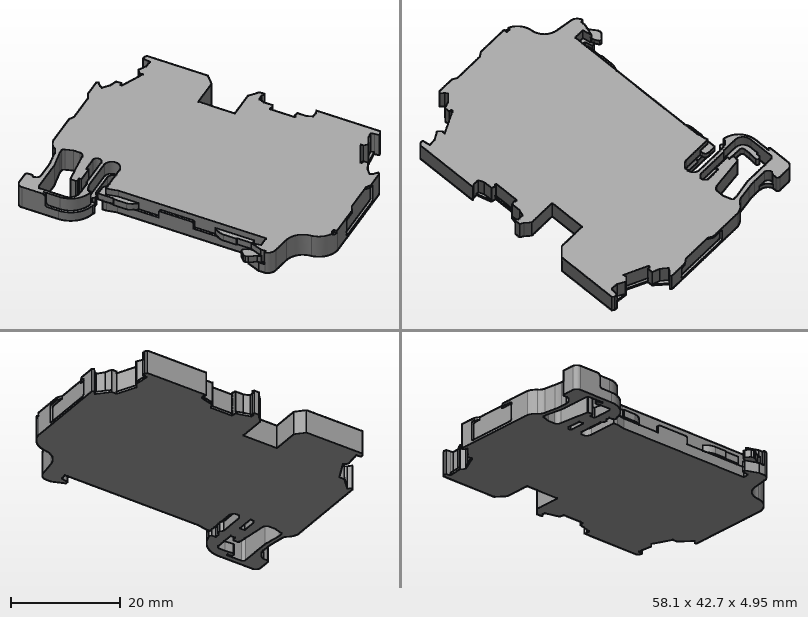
import cadquery as cq

HEIGHT = 4.95
TOP = 42.65
STEP_Z = 2.05
LUG_TOP_Z = 3.5
BLOCK_TOP_Z = 3.62
PLATE_Z = 0.5
LEFT = 0.53
RIGHT = 58.05
RAIL_Y = 6.35
RAIL_STEP_Y = 6.84
CLEAR = 1.0

BODY_AXIS_X = (LEFT + RIGHT) / 2
NOTCH_AXIS_X = 34.73

SHOULDER = [
    (LEFT, 31.96), (0.88, 32.2), (1.5, 31.5), (3.7, 33.82), (4.76, 33.82), (6.6, 37.7),
    (5.9, 38.4), (6.26, 41.5), (5.3, 41.6), (5.3, 42.2), (5.6, TOP),
]

SHOULDER_RECESSES = [
    [(6.26, 41.5), (6.85, 41.4), (6.75, 40.0), (5.95, 38.6), (5.4, 38.6), (5.4, 41.5)],
    [(6.6, 37.7), (7.2, 37.8), (5.1, 33.3), (4.76, 33.3), (4.76, 33.82), (5.2, 36.0)],
    [(3.7, 33.82), (3.17, 32.4), (2.1, 31.15), (1.5, 31.5), (2.0, 33.0)],
]

NOTCH_HALF = [(29.25, 42.1), (29.25, 41.4), (32.2, 40.6), (32.4, 39.65)]
NOTCH_RECESS = [(29.25, 41.4), (29.25, 40.95), (30.4, 40.5), (32.2, 40.5), (32.2, 40.9), (30.0, 42.0)]
NOTCH_FLOOR_Y = 39.65
NOTCH_FLOOR_RECESS = 0.35
NOTCH_FLOOR_LENGTH = 5.1

POCKET_DEPTH = 0.55
POCKET_Y = (18.4, 29.3)
POCKET_Z = (0.53, 4.4)
POCKET_CORNER = 0.4
OPENING_Y = (20.7, 28.5)
OPENING_RUN = 0.9

CORNER_NOTCH_X = 57.35
CORNER_NOTCH_Y = (13.6, 14.4)
CORNER_NOTCH_DEPTH = 0.5

STEP_EDGE_Y = 0.53
RAMP_X = 5.8
RAMP_RADIUS = 0.55
RAMP_END_X = 7.0
GUSSET_Z = 1.4

BLOCK_X = (25.76, 32.8)
BLOCK_CORNER = 0.35

LUG_TIP_Y = 5.82
LUG_SHOULDER_Y = 6.0

LEDGE_X = (14.5, 15.0)
LEDGE_Y = (9.6, 12.8)
LEDGE_DROP = 0.6


def mirrored(points, axis_x):
    """Points mirrored about a line x = axis_x, in reverse order."""
    return [(2 * axis_x - x, y) for x, y in reversed(points)]


def prism(points, z_low, z_high):
    """Straight-sided prism over a polygon."""
    return cq.Workplane("XY").workplane(offset=z_low).polyline(points).close().extrude(z_high - z_low)


def box(x_range, y_range, z_range):
    """Box spanning three coordinate ranges."""
    spans = [high - low for low, high in (x_range, y_range, z_range)]
    return cq.Workplane("XY").box(*spans, centered=False).translate((x_range[0], y_range[0], z_range[0]))


def make_envelope():
    """Housing outline of the lower layer, carried through the full height."""
    outline = (
        cq.Workplane("XY")
        .moveTo(LEFT, 14.1)
        .threePointArc((0.85, 13.2), (1.5, 12.4))
        .threePointArc((2.05, 11.9), (2.3, 11.2))
        .lineTo(2.65, 8.83)
        .threePointArc((2.77, 8.0), (2.8, 7.24))
        .lineTo(2.8, 4.45)
        .threePointArc((2.45, 3.75), (1.7, 3.52))
        .lineTo(1.3, 3.85)
        .lineTo(0.5, 3.85)
        .threePointArc((0.15, 3.7), (0, 3.35))
        .lineTo(0, 1.0)
        .threePointArc((0.3, 0.3), (1.0, 0))
        .lineTo(8.5, 0)
        .threePointArc((11.74, 1.16), (13.5, 4.1))
        .threePointArc((13.65, 4.55), (13.4, 4.92))
        .lineTo(12.5, 4.92)
        .lineTo(12.5, 5.85)
        .lineTo(12.93, 6.2)
        .lineTo(12.93, 6.9)
        .lineTo(12.45, 7.4)
        .lineTo(12.45, 12.2)
        .threePointArc((13.5, 13.25), (14.5, 12.2))
        .lineTo(14.5, 5.95)
        .lineTo(15.3, 5.95)
        .lineTo(17.3, RAIL_Y)
        .lineTo(46.7, RAIL_Y)
        .lineTo(46.5, 5.1)
        .lineTo(45.0, 4.77)
        .lineTo(45.0, 4.2)
        .lineTo(47.6, 3.2)
        .lineTo(48.9, 3.2)
        .threePointArc((49.85, 3.7), (50.35, 4.7))
        .lineTo(50.85, 8.0)
        .threePointArc((52.0, 10.1), (54.4, 11.1))
        .threePointArc((56.9, 12.3), (RIGHT, 14.6))
        .polyline(mirrored(SHOULDER, BODY_AXIS_X)[::-1], includeCurrent=True)
        .lineTo(40.0, TOP)
        .polyline(mirrored(NOTCH_HALF, NOTCH_AXIS_X)[::-1], includeCurrent=True)
        .polyline(NOTCH_HALF[::-1], includeCurrent=True)
        .lineTo(29.7, 42.4)
        .lineTo(29.5, TOP)
        .lineTo(28.4, TOP)
        .lineTo(28.0, 42.0)
        .lineTo(27.0, 40.9)
        .lineTo(27.0, 35.4)
        .lineTo(19.6, 35.4)
        .lineTo(19.6, 40.9)
        .lineTo(18.0, TOP)
        .polyline(SHOULDER[::-1], includeCurrent=True)
        .close()
    )
    return outline.extrude(HEIGHT)


def make_clip_window():
    """Through window inside the clip, wrapped around the hanging finger."""
    outline = (
        cq.Workplane("XY")
        .moveTo(3.1, 12.3)
        .threePointArc((3.2, 12.6), (3.5, 12.75))
        .lineTo(5.0, 13.22)
        .lineTo(6.4, 13.22)
        .threePointArc((6.95, 13.0), (7.25, 12.4))
        .lineTo(8.0, 6.0)
        .lineTo(8.15, 5.82)
        .lineTo(9.2, 5.82)
        .lineTo(9.4, 6.1)
        .lineTo(9.4, 6.71)
        .lineTo(9.88, 6.71)
        .lineTo(9.88, 9.75)
        .lineTo(9.4, 9.75)
        .lineTo(9.4, 12.4)
        .threePointArc((10.25, 13.25), (11.1, 12.4))
        .lineTo(11.1, 6.3)
        .lineTo(11.3, 6.2)
        .lineTo(11.3, 3.2)
        .threePointArc((10.7, 1.7), (9.2, 1.1))
        .lineTo(4.3, 1.1)
        .threePointArc((3.9, 1.25), (3.75, 1.65))
        .lineTo(3.75, 8.0)
        .lineTo(3.1, 11.6)
        .close()
    )
    return outline.extrude(HEIGHT)


def make_leg_thickening():
    """Lower layer of the clip leg: thicker leg, bridge to the finger and curled tongue."""
    outline = (
        cq.Workplane("XY")
        .moveTo(10.45, 13.5)
        .lineTo(10.45, 9.75)
        .lineTo(9.6, 9.75)
        .lineTo(9.6, 6.71)
        .lineTo(10.45, 6.71)
        .lineTo(10.45, 2.8)
        .threePointArc((10.27, 2.35), (9.85, 2.15))
        .lineTo(8.6, 2.15)
        .lineTo(6.85, 2.3)
        .threePointArc((6.5, 1.9), (6.8, 1.4))
        .lineTo(7.5, 1.35)
        .lineTo(7.5, 1.0)
        .lineTo(9.3, 1.0)
        .threePointArc((10.8, 1.65), (11.4, 3.2))
        .lineTo(11.4, 13.5)
        .close()
    )
    return outline.extrude(STEP_Z)


def make_upper_trim():
    """Material removed above the lower layer along the foot, the clip slot and the rail edge."""
    outline = (
        cq.Workplane("XY")
        .workplane(offset=STEP_Z)
        .moveTo(RAMP_END_X, STEP_EDGE_Y)
        .lineTo(8.5, STEP_EDGE_Y)
        .threePointArc((11.6, 1.75), (13.0, 4.2))
        .lineTo(12.95, 4.42)
        .lineTo(12.45, 4.42)
        .lineTo(12.1, 4.8)
        .lineTo(11.83, 5.9)
        .lineTo(11.83, 12.2)
        .threePointArc((13.45, 13.65), (15.0, 12.2))
        .lineTo(15.0, 6.36)
        .lineTo(17.3, RAIL_STEP_Y)
        .lineTo(47.35, RAIL_STEP_Y)
        .lineTo(47.35, 4.77)
        .lineTo(45.5, 4.45)
        .lineTo(47.85, 3.65)
        .lineTo(48.8, 3.65)
        .lineTo(48.8, -CLEAR)
        .lineTo(RAMP_END_X, -CLEAR)
        .close()
    )
    return outline.extrude(HEIGHT)


def make_foot_ramp():
    """Rounded start of the step along the underside of the foot."""
    profile = (
        cq.Workplane("XZ")
        .moveTo(RAMP_END_X, STEP_Z)
        .lineTo(RAMP_X + RAMP_RADIUS, STEP_Z)
        .radiusArc((RAMP_X, STEP_Z + RAMP_RADIUS), RAMP_RADIUS)
        .lineTo(RAMP_X, HEIGHT - RAMP_RADIUS)
        .radiusArc((RAMP_X - RAMP_RADIUS, HEIGHT), -RAMP_RADIUS)
        .lineTo(RAMP_END_X, HEIGHT)
        .close()
    )
    return profile.extrude(STEP_EDGE_Y + CLEAR).translate((0, STEP_EDGE_Y, 0))


def make_foot_gusset():
    """Low gusset in the corner between the foot and the clip arm."""
    outline = (
        cq.Workplane("XY")
        .moveTo(3.0, 5.83)
        .lineTo(2.75, 5.83)
        .threePointArc((2.2, 4.5), (1.2, 3.85))
        .lineTo(1.2, 3.5)
        .lineTo(3.0, 3.5)
        .close()
    )
    return outline.extrude(GUSSET_Z)


def make_left_lug():
    """Rail lug next to the clip slot, with a rounded tab reaching into the slot."""
    outline = (
        cq.Workplane("XY")
        .workplane(offset=STEP_Z)
        .moveTo(15.2, 8.5)
        .lineTo(14.5, 8.5)
        .threePointArc((13.85, 8.2), (13.6, 7.5))
        .lineTo(13.6, LUG_SHOULDER_Y)
        .lineTo(16.7, LUG_SHOULDER_Y)
        .lineTo(16.9, LUG_TIP_Y)
        .lineTo(19.45, LUG_TIP_Y)
        .threePointArc((20.6, 6.15), (21.5, RAIL_STEP_Y))
        .lineTo(15.2, 7.2)
        .close()
    )
    return outline.extrude(LUG_TOP_Z - STEP_Z)


def make_right_lug():
    """Rail lug near the latch hook."""
    inner_y = RAIL_STEP_Y + 0.2
    outline = (
        cq.Workplane("XY")
        .workplane(offset=STEP_Z)
        .moveTo(37.05, inner_y)
        .lineTo(37.05, RAIL_STEP_Y)
        .threePointArc((37.95, 6.15), (39.15, LUG_TIP_Y))
        .lineTo(41.8, LUG_TIP_Y)
        .lineTo(41.9, LUG_SHOULDER_Y)
        .lineTo(44.97, LUG_SHOULDER_Y)
        .lineTo(44.97, inner_y)
        .close()
    )
    return outline.extrude(LUG_TOP_Z - STEP_Z)


def make_latch_hook():
    """Pointed latch hook below the right end of the rail edge."""
    outline = [
        (48.0, 4.2), (46.0, 4.45), (45.0, 4.2), (44.1, 3.7), (44.1, 3.2), (44.95, 2.35),
        (45.35, 2.2), (45.9, 2.35), (47.3, 3.3), (48.0, 3.4),
    ]
    return prism(outline, STEP_Z, LUG_TOP_Z)


def make_rail_block():
    """Raised central part of the lower layer along the rail edge."""
    block = box(BLOCK_X, (RAIL_Y, RAIL_STEP_Y), (STEP_Z, BLOCK_TOP_Z))
    return block.edges("|Y and >Z").fillet(BLOCK_CORNER)


def make_slot_ledge_bevel():
    """Wedge that bevels the ledge on the right wall of the clip slot."""
    wedge = (
        cq.Workplane("XZ")
        .moveTo(LEDGE_X[1], STEP_Z)
        .lineTo(LEDGE_X[0], STEP_Z)
        .lineTo(LEDGE_X[0], STEP_Z - LEDGE_DROP)
        .close()
        .extrude(LEDGE_Y[1] - LEDGE_Y[0])
    )
    return wedge.translate((0, LEDGE_Y[1], 0))


def make_label_pocket():
    """Label pocket of the left side with its tapered opening to the top face."""
    pocket = box((LEFT - CLEAR, LEFT + POCKET_DEPTH), POCKET_Y, POCKET_Z).edges("|X").fillet(POCKET_CORNER)
    opening = [
        (LEFT, OPENING_Y[0]),
        (LEFT + POCKET_DEPTH, OPENING_Y[0] + OPENING_RUN),
        (LEFT + POCKET_DEPTH, OPENING_Y[1] - OPENING_RUN),
        (LEFT, OPENING_Y[1]),
    ]
    return pocket.union(prism(opening, HEIGHT / 2, HEIGHT + CLEAR))


def make_side_cutters():
    """Edge recesses and label pocket of the left side."""
    cutter = make_label_pocket()
    for recess in SHOULDER_RECESSES:
        cutter = cutter.union(prism(recess, PLATE_Z, HEIGHT + CLEAR))
    return cutter


def make_notch_recesses():
    """Recesses along both flanks and the floor of the marker notch."""
    floor_x = (NOTCH_AXIS_X - NOTCH_FLOOR_LENGTH / 2, NOTCH_AXIS_X + NOTCH_FLOOR_LENGTH / 2)
    floor_y = (NOTCH_FLOOR_Y - NOTCH_FLOOR_RECESS, NOTCH_FLOOR_Y)
    cutter = box(floor_x, floor_y, (PLATE_Z, HEIGHT))
    for flank in (NOTCH_RECESS, mirrored(NOTCH_RECESS, NOTCH_AXIS_X)):
        cutter = cutter.union(prism(flank, PLATE_Z, HEIGHT))
    return cutter


def make_corner_notch():
    """Small notch in the top edge of the lower right rounded corner."""
    return box((CORNER_NOTCH_X, RIGHT), CORNER_NOTCH_Y, (HEIGHT - CORNER_NOTCH_DEPTH, HEIGHT))


left_cutters = make_side_cutters()
right_cutters = left_cutters.mirror("YZ").translate((2 * BODY_AXIS_X, 0, 0))

housing = make_envelope()
housing = housing.cut(make_clip_window())
housing = housing.cut(make_upper_trim())
housing = housing.cut(make_foot_ramp())
housing = housing.union(make_leg_thickening())
housing = housing.cut(make_slot_ledge_bevel())
housing = housing.union(make_foot_gusset())
for rail_feature in (make_left_lug(), make_right_lug(), make_latch_hook(), make_rail_block()):
    housing = housing.union(rail_feature)
for cutter in (left_cutters, right_cutters, make_notch_recesses(), make_corner_notch()):
    housing = housing.cut(cutter)

result = housing